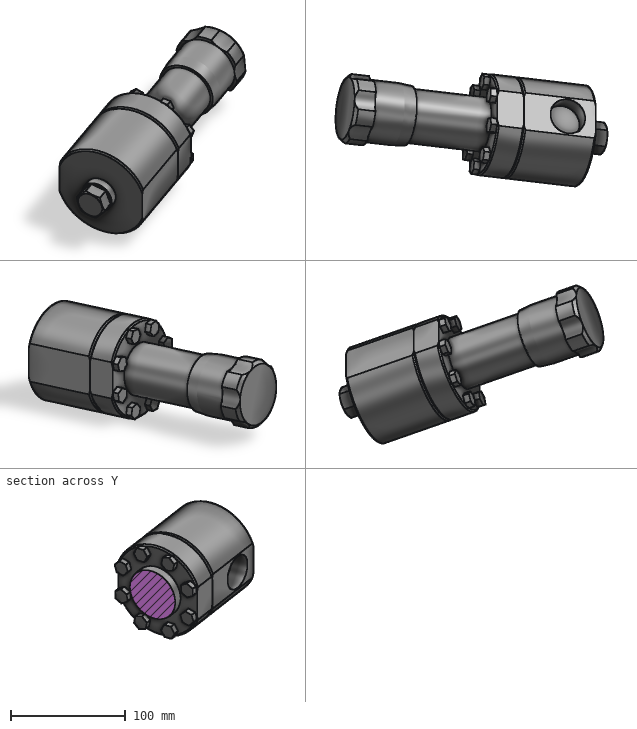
import cadquery as cq
import math

overall_length = 236.2

plug_hex_end = 11.8
body_front = 20.0
body_joint = 85.7
flange_back = 110.0
bolt_head_end = 115.7
sleeve_taper_start = 178.8
sleeve_taper_end = 190.5
knob_front = 217.3

body_radius = 44.5
flange_flats_width = 82.5
body_flats_width = 81.7
body_chamfer = 1.5

port_radius = 15.8
port_depth = 16.5
port_y = 45.5

hexagon_turn = -10.0

collar_radius = 14.6
collar_chamfer = 0.7
plug_corner_radius = 14.2
plug_face_radius = 11.8
plug_chamfer_length = 1.2

bolt_count = 8
bolt_circle_radius = 37.0
bolt_corner_radius = 7.0
bolt_start_angle = 180.0 / bolt_count

tube_radius = 23.9
sleeve_radius = 27.5
sleeve_small_radius = 26.2
knob_radius = 30.5
knob_chamfer = 3.0
flute_count = 6
flute_start_angle = 5.0
flute_half_angle = 16.5


def polar(radius, angle):
    """Return (x, z) at an angle in degrees, measured from +X towards +Z."""
    turn = math.radians(angle)
    return radius * math.cos(turn), radius * math.sin(turn)


def section(y):
    """Workplane across the axis at y, with local x, y along X, Z and extrusion towards +Y."""
    plane = cq.Plane(origin=(0, y, 0), xDir=(1, 0, 0), normal=(0, -1, 0))
    return cq.Workplane(plane)


def cylinder(radius, y_start, y_end):
    return section(y_start).circle(radius).extrude(y_start - y_end)


def hexagon(corner_radius, turn, y_start, y_end, center=(0, 0)):
    """Hexagonal bar with one corner pointing at the angle turn."""
    corners = []
    for side in range(6):
        dx, dz = polar(corner_radius, turn + 60 * side)
        corners.append((center[0] + dx, center[1] + dz))
    return section(y_start).polyline(corners).close().extrude(y_start - y_end)


def flatted_drum(y_start, y_end, flats_width):
    """Drum with chamfered rims, cut by a pair of flats facing -X and +X."""
    drum = cylinder(body_radius, y_start, y_end).edges().chamfer(body_chamfer)
    between_flats = cq.Workplane("XY").box(flats_width, 2 * overall_length, 2 * body_radius)
    return drum.intersect(between_flats)


def make_body():
    body = flatted_drum(body_front, body_joint, body_flats_width)
    flange = flatted_drum(body_joint, flange_back, flange_flats_width)
    return body.union(flange)


def make_port():
    """Blind round port in the -X flat of the body."""
    flat = cq.Workplane("YZ", origin=(-body_flats_width / 2, port_y, 0))
    return flat.circle(port_radius).extrude(port_depth)


def make_plug():
    """Round collar with a hexagon whose front corners are turned off conically."""
    collar = cylinder(collar_radius, plug_hex_end, body_front).faces("<Y").edges().chamfer(collar_chamfer)
    hexagon_head = hexagon(plug_corner_radius, hexagon_turn, 0, plug_hex_end)
    turned_envelope = (
        cq.Workplane("XY")
        .moveTo(0, 0)
        .lineTo(plug_face_radius, 0)
        .lineTo(plug_corner_radius, plug_chamfer_length)
        .lineTo(plug_corner_radius, plug_hex_end)
        .lineTo(0, plug_hex_end)
        .close()
        .revolve(360, (0, 0, 0), (0, 1, 0))
    )
    return collar.union(hexagon_head.intersect(turned_envelope))


def make_sleeve():
    """Tube with a sleeve that tapers down towards the flange."""
    return (
        cq.Workplane("XY")
        .moveTo(0, flange_back)
        .lineTo(tube_radius, flange_back)
        .lineTo(tube_radius, sleeve_taper_start)
        .lineTo(sleeve_small_radius, sleeve_taper_start)
        .lineTo(sleeve_radius, sleeve_taper_end)
        .lineTo(sleeve_radius, knob_front)
        .lineTo(0, knob_front)
        .close()
        .revolve(360, (0, 0, 0), (0, 1, 0))
    )


def make_knob():
    """Chamfered knob with concave grip flutes as deep as the sleeve surface."""
    knob = cylinder(knob_radius, knob_front, overall_length).faces(">Y").edges().chamfer(knob_chamfer)
    edge_distance, half_width = polar(knob_radius, flute_half_angle)
    depth = edge_distance - sleeve_radius
    flute_radius = (half_width**2 + depth**2) / (2 * depth)
    for index in range(flute_count):
        angle = flute_start_angle + index * 360 / flute_count
        center = polar(sleeve_radius + flute_radius, angle)
        flute = section(knob_front).center(*center).circle(flute_radius).extrude(knob_front - overall_length)
        knob = knob.cut(flute)
    return knob


def make_bolt_heads():
    """Ring of hexagonal heads standing on the back of the flange, each turned with its place."""
    heads = cq.Workplane("XY")
    for index in range(bolt_count):
        angle = bolt_start_angle + index * 360 / bolt_count
        center = polar(bolt_circle_radius, angle)
        head = hexagon(bolt_corner_radius, angle + hexagon_turn, flange_back, bolt_head_end, center)
        heads = heads.add(head)
    return heads.combine()


result = make_body().cut(make_port())
result = result.union(make_plug()).union(make_sleeve()).union(make_knob()).union(make_bolt_heads())